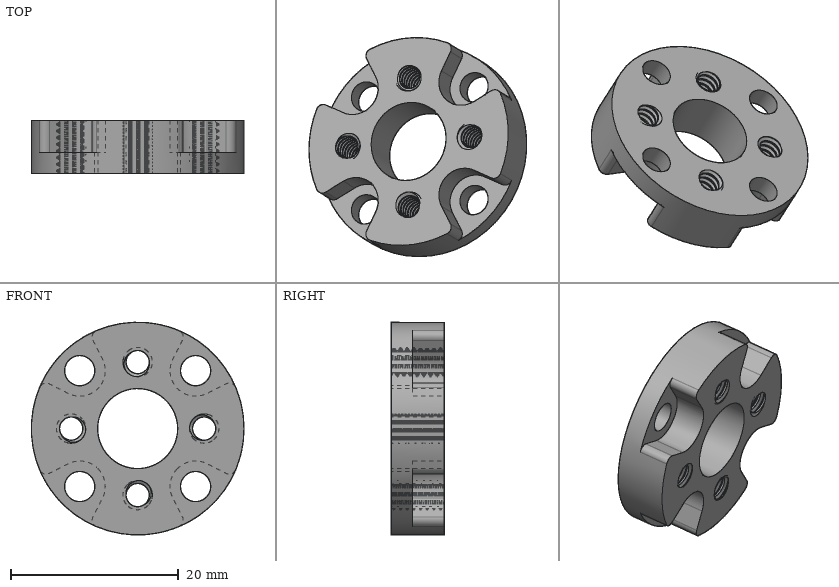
import cadquery as cq
import math

DISC_RADIUS = 12.7
THICKNESS = 6.35
BORE_RADIUS = 9.525 / 2

CLEAR_HOLE_RADIUS = 3.572 / 2
CLEAR_CIRCLE_RADIUS = 19.558 / 2

NOTCH_DEPTH = 3.81
NOTCH_RADIUS = 3.048
NOTCH_HALF_ANGLE = math.radians(18)
NOTCH_LIP_RADIUS = 0.85
NOTCH_OVERSHOOT = 2.0

THREAD_CIRCLE_RADIUS = 15.875 / 2
THREAD_PITCH = 25.4 / 32
THREAD_MAJOR_RADIUS = 3.505 / 2
THREAD_MINOR_RADIUS = 2.74 / 2
THREAD_ROOT_WIDTH = THREAD_PITCH / 8
THREAD_FLANK_ANGLE = math.radians(30)
THREAD_OVERLAP = 0.1
THREAD_START_ANGLE = 208

PATTERN_COUNT = 4
PATTERN_STEP = 360 / PATTERN_COUNT
DIAGONAL = PATTERN_STEP / 2


def along_y(shape):
    """Turn a shape built along +Z so that it runs along +Y."""
    return shape.rotate((0, 0, 0), (1, 0, 0), -90)


def cut_around_axis(body, cutter, first_angle):
    """Cut copies of a cutter, equally spaced about the disc axis; thread faces stay unmerged."""
    for index in range(PATTERN_COUNT):
        angle = first_angle + index * PATTERN_STEP
        body = body.cut(cutter.rotate((0, 0, 0), (0, 1, 0), angle), clean=False)
    return body


def make_disc():
    blank = cq.Workplane("XY").circle(DISC_RADIUS).circle(BORE_RADIUS).extrude(THICKNESS)
    return along_y(blank)


def make_clear_hole():
    hole = cq.Workplane("XY").center(CLEAR_CIRCLE_RADIUS, 0).circle(CLEAR_HOLE_RADIUS).extrude(THICKNESS)
    return along_y(hole)


def make_notch():
    """Notch along +X: round inner end, tangent flared walls, lips rounded into the rim."""
    sin_a = math.sin(NOTCH_HALF_ANGLE)
    cos_a = math.cos(NOTCH_HALF_ANGLE)

    wall_start = (CLEAR_CIRCLE_RADIUS - NOTCH_RADIUS * sin_a, NOTCH_RADIUS * cos_a)

    lip_offset = NOTCH_RADIUS + NOTCH_LIP_RADIUS
    base_x = CLEAR_CIRCLE_RADIUS - lip_offset * sin_a
    base_y = lip_offset * cos_a
    lip_center_radius = DISC_RADIUS - NOTCH_LIP_RADIUS
    along = base_x * cos_a + base_y * sin_a
    travel = math.sqrt(along**2 - base_x**2 - base_y**2 + lip_center_radius**2) - along
    lip_x = base_x + travel * cos_a
    lip_y = base_y + travel * sin_a
    wall_end = (lip_x + NOTCH_LIP_RADIUS * sin_a, lip_y - NOTCH_LIP_RADIUS * cos_a)

    rim_angle = math.atan2(lip_y, lip_x)
    rim_point = (DISC_RADIUS * math.cos(rim_angle), DISC_RADIUS * math.sin(rim_angle))
    lip_mid_angle = (rim_angle + NOTCH_HALF_ANGLE - math.pi / 2) / 2
    lip_mid = (
        lip_x + NOTCH_LIP_RADIUS * math.cos(lip_mid_angle),
        lip_y + NOTCH_LIP_RADIUS * math.sin(lip_mid_angle),
    )
    outside_x = DISC_RADIUS + NOTCH_OVERSHOOT

    def mirrored(point):
        return (point[0], -point[1])

    outline = (
        cq.Workplane("XY", origin=(0, 0, THICKNESS - NOTCH_DEPTH))
        .moveTo(*mirrored(wall_start))
        .threePointArc((CLEAR_CIRCLE_RADIUS - NOTCH_RADIUS, 0), wall_start)
        .lineTo(*wall_end)
        .threePointArc(lip_mid, rim_point)
        .lineTo(outside_x, rim_point[1])
        .lineTo(outside_x, -rim_point[1])
        .lineTo(*mirrored(rim_point))
        .threePointArc(mirrored(lip_mid), mirrored(wall_end))
        .close()
    )
    return along_y(outline.extrude(NOTCH_DEPTH))


def place_in_threaded_hole(shape):
    """Move a shape built about the Z axis to the threaded hole on the +X axis."""
    turned = shape.rotate((0, 0, 0), (0, 0, 1), THREAD_START_ANGLE)
    return along_y(turned.translate((THREAD_CIRCLE_RADIUS, 0, 0)))


def make_thread_bore():
    """Minor-diameter bore, turned with the groove so that their seams line up."""
    bore = cq.Workplane("XY").circle(THREAD_MINOR_RADIUS).extrude(THICKNESS)
    return place_in_threaded_hole(bore)


def make_thread_groove():
    """Right-hand helical V groove, running one pitch past both faces."""
    half_root = THREAD_ROOT_WIDTH / 2
    inner_radius = THREAD_MINOR_RADIUS - THREAD_OVERLAP
    half_mouth = half_root + (THREAD_MAJOR_RADIUS - inner_radius) * math.tan(THREAD_FLANK_ANGLE)
    profile = [
        (inner_radius, -half_mouth),
        (THREAD_MAJOR_RADIUS, -half_root),
        (THREAD_MAJOR_RADIUS, half_root),
        (inner_radius, half_mouth),
    ]

    length = THICKNESS + 2 * THREAD_PITCH
    edges = []
    for radius, height in profile:
        helix = cq.Wire.makeHelix(THREAD_PITCH, length, radius)
        edges.append(helix.translate(cq.Vector(0, 0, height - THREAD_PITCH)))
    faces = []
    for index, edge in enumerate(edges):
        faces.append(cq.Face.makeRuledSurface(edges[index - 1], edge))
    for corners in ([edge.startPoint() for edge in edges], [edge.endPoint() for edge in edges]):
        faces.append(cq.Face.makeFromWires(cq.Wire.makePolygon(corners, close=True)))

    groove = cq.Solid.makeSolid(cq.Shell.makeShell(faces))
    return place_in_threaded_hole(cq.Workplane(groove))


result = make_disc()
result = cut_around_axis(result, make_thread_groove(), 0)
result = cut_around_axis(result, make_thread_bore(), 0)
result = cut_around_axis(result, make_clear_hole(), DIAGONAL)
result = cut_around_axis(result, make_notch(), DIAGONAL)